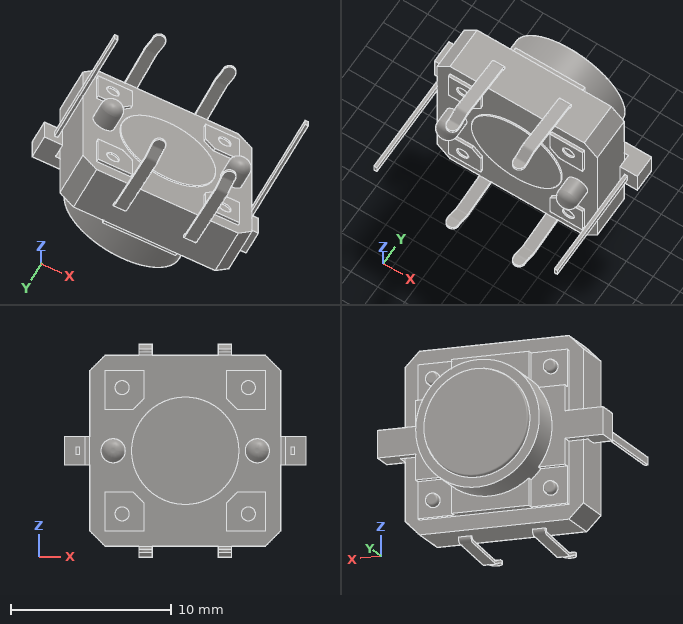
import cadquery as cq


HOUSING_SIDE = 11.93
HOUSING_DEPTH = 3.1
FRAME_SIDE = 10.0
HOUSING_CHAMFER = (HOUSING_SIDE - FRAME_SIDE) / 2

CORNER_SIDE = 2.42
CORNER_CENTRE = (FRAME_SIDE - CORNER_SIDE) / 2
CORNER_SIGNS = [(sx, sz) for sx in (-1, 1) for sz in (-1, 1)]
PAD_HEIGHT = 0.2
PAD_CUT = 0.66
RIVET_CENTRE = 3.94
RIVET_RADIUS = 0.44
RIVET_ROUND = 0.15
DIMPLE_DEPTH = 0.1

DISC_RADIUS = 3.35
DISC_HEIGHT = 0.1

PEG_CENTRE = 4.5
PEG_RADIUS = 0.75
PEG_LENGTH = 1.7
PEG_ROUND = 0.6

FRAME_DEPTH = 0.7
FRAME_BACK = HOUSING_DEPTH + FRAME_DEPTH
NOTCH_DEPTH = 0.41
ARM_TIP = 7.55
ARM_HEIGHT = 1.8
ARM_BLOCK_WIDTH = 1.28
ARM_BLOCK_FRONT = 2.15

BUTTON_RADIUS = 4.14
BUTTON_TOP = 6.0
CAP_RADIUS = 3.5
CAP_HEIGHT = 0.3
CAP_ROUND = 0.1

WIRE_CENTRE = 6.72
WIRE_WIDTH = 0.23
WIRE_HEIGHT = 0.5
WIRE_END = -5.9

LEG_CENTRE = 2.48
LEG_WIDTH = 0.85
LEG_THICKNESS = 0.2
LEG_ROOT = (1.68, HOUSING_SIDE / 2)
LEG_SHOULDER = (1.68, 6.24)
LEG_KNEE = (-2.55, 6.561)
LEG_ANKLE = (-3.37, 6.25)
LEG_TIP_Y = -4.0
SHOULDER_RADIUS = 0.21
KNEE_RADIUS = 0.38


def block(x_range, y_range, z_range):
    """Box between two limits on each axis."""
    (x0, x1), (y0, y1), (z0, z1) = x_range, y_range, z_range
    return cq.Workplane("XY").box(x1 - x0, y1 - y0, z1 - z0, centered=False).translate((x0, y0, z0))


def facing_front(y):
    """Workplane at depth y whose normal points to -Y, with local axes X and Z."""
    return cq.Workplane("XZ", origin=(0, y, 0))


def mirrored(half_width):
    """Limits that are symmetric about zero."""
    return (-half_width, half_width)


def make_pad(sx, sz):
    """Square pad with its inner corner cut off and a shallow round dimple."""
    inner = CORNER_CENTRE - CORNER_SIDE / 2
    outer = CORNER_CENTRE + CORNER_SIDE / 2
    outline = [
        (inner + PAD_CUT, inner),
        (outer, inner),
        (outer, outer),
        (inner, outer),
        (inner, inner + PAD_CUT),
    ]
    pad = facing_front(0).polyline([(sx * x, sz * z) for x, z in outline]).close().extrude(PAD_HEIGHT)
    dimple = (
        facing_front(DIMPLE_DEPTH - PAD_HEIGHT)
        .center(sx * RIVET_CENTRE, sz * RIVET_CENTRE)
        .circle(RIVET_RADIUS)
        .extrude(DIMPLE_DEPTH)
    )
    return pad.cut(dimple)


def make_peg(side):
    """Round-nosed locating peg."""
    peg = facing_front(0).center(side * PEG_CENTRE, 0).circle(PEG_RADIUS).extrude(PEG_LENGTH)
    return peg.faces("<Y").edges().fillet(PEG_ROUND)


def make_housing():
    housing = block(mirrored(HOUSING_SIDE / 2), (0, HOUSING_DEPTH), mirrored(HOUSING_SIDE / 2))
    housing = housing.edges("|Y").chamfer(HOUSING_CHAMFER)
    housing = housing.union(facing_front(0).circle(DISC_RADIUS).extrude(DISC_HEIGHT))
    for sx, sz in CORNER_SIGNS:
        housing = housing.union(make_pad(sx, sz))
    for side in (-1, 1):
        housing = housing.union(make_peg(side))
    return housing


def make_arm(side):
    """Arm that reaches out past the housing and ends in a deeper block."""
    near = side * FRAME_SIDE / 2
    tip = side * ARM_TIP
    block_inner = side * (ARM_TIP - ARM_BLOCK_WIDTH)
    height = mirrored(ARM_HEIGHT / 2)
    beam = block(sorted((near, tip)), (HOUSING_DEPTH, FRAME_BACK), height)
    return beam.union(block(sorted((block_inner, tip)), (ARM_BLOCK_FRONT, FRAME_BACK), height))


def make_rivet(sx, sz):
    """Round-edged rivet head that stands in a corner notch, level with the back of the frame."""
    rivet = (
        facing_front(FRAME_BACK)
        .center(sx * RIVET_CENTRE, sz * RIVET_CENTRE)
        .circle(RIVET_RADIUS)
        .extrude(NOTCH_DEPTH)
    )
    return rivet.faces(">Y").edges().fillet(RIVET_ROUND)


def make_frame():
    frame = block(mirrored(FRAME_SIDE / 2), (HOUSING_DEPTH, FRAME_BACK), mirrored(FRAME_SIDE / 2))
    for side in (-1, 1):
        frame = frame.union(make_arm(side))
    for sx, sz in CORNER_SIGNS:
        notch = (
            facing_front(FRAME_BACK)
            .center(sx * CORNER_CENTRE, sz * CORNER_CENTRE)
            .rect(CORNER_SIDE, CORNER_SIDE)
            .extrude(NOTCH_DEPTH)
        )
        frame = frame.cut(notch).union(make_rivet(sx, sz))
    button_hole = facing_front(FRAME_BACK).circle(BUTTON_RADIUS).extrude(FRAME_DEPTH)
    return frame.cut(button_hole)


def make_button():
    """Cylinder that passes through the frame, with a low round-edged cap on top."""
    stem = facing_front(BUTTON_TOP).circle(BUTTON_RADIUS).extrude(BUTTON_TOP - HOUSING_DEPTH)
    cap = facing_front(BUTTON_TOP + CAP_HEIGHT).circle(CAP_RADIUS).extrude(CAP_HEIGHT)
    cap = cap.faces(">Y").edges().fillet(CAP_ROUND)
    return stem.union(cap)


def make_wire(side):
    """Straight wire that starts on the front of an arm block."""
    wire = block(mirrored(WIRE_WIDTH / 2), (WIRE_END, ARM_BLOCK_FRONT), mirrored(WIRE_HEIGHT / 2))
    return wire.translate((side * WIRE_CENTRE, 0, 0))


def make_leg(side_x, side_z):
    """Bent contact leg with a fully rounded tip, starting on the upper or lower side of the housing."""
    tip_radius = LEG_WIDTH / 2
    tip_centre_y = LEG_TIP_Y + tip_radius
    tip_z = LEG_ANKLE[1]
    corners = [LEG_ROOT, LEG_SHOULDER, LEG_KNEE, LEG_ANKLE, (tip_centre_y, tip_z)]
    path = cq.Wire.makePolygon([cq.Vector(0, y, z) for y, z in corners])
    path = path.fillet(KNEE_RADIUS, path.Vertices()[2:4])
    path = path.fillet(SHOULDER_RADIUS, path.Vertices()[1:2])
    strip = (
        cq.Workplane("XY", origin=(0, *LEG_ROOT))
        .rect(LEG_WIDTH, LEG_THICKNESS)
        .sweep(cq.Workplane(path))
    )
    tip = (
        cq.Workplane("XY", origin=(0, tip_centre_y, tip_z - LEG_THICKNESS / 2))
        .moveTo(-tip_radius, 0)
        .threePointArc((0, -tip_radius), (tip_radius, 0))
        .close()
        .extrude(LEG_THICKNESS)
    )
    leg = strip.union(tip).translate((side_x * LEG_CENTRE, 0, 0))
    if side_z < 0:
        leg = leg.mirror("XY")
    return leg


housing = make_housing()
frame = make_frame()
button = make_button()
wires = [make_wire(side) for side in (-1, 1)]
legs = [make_leg(sx, sz) for sx, sz in CORNER_SIGNS]

result = cq.Compound.makeCompound(
    [
        housing.val(),
        frame.val(),
        button.val(),
        *[wire.val() for wire in wires],
        *[leg.val() for leg in legs],
    ]
)